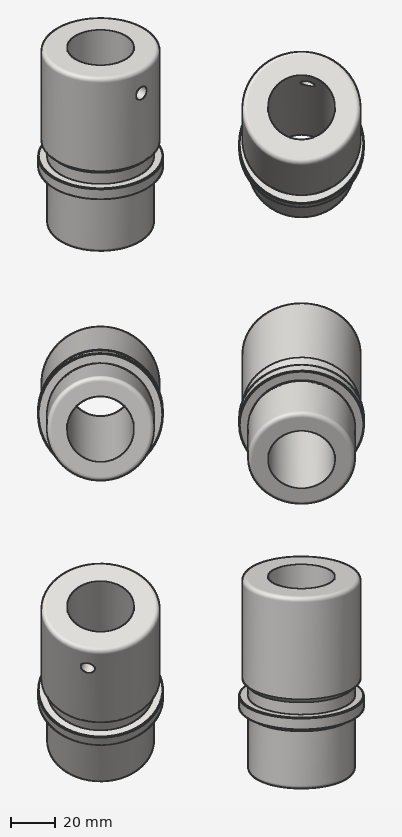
import cadquery as cq

total_height = 93.0
bore_diameter = 29.9
end_round = 2.0

body_radius = 53.0 / 2
body_bottom_z = 44.5

spigot_radius = 48.0 / 2
taper_bottom_z = body_bottom_z - (body_radius - spigot_radius)

flange_radius = 56.0 / 2
flange_bottom_z = 30.2
flange_thickness = 5.95
flange_top_z = flange_bottom_z + flange_thickness
flange_chamfer = 0.5

groove_radius = 46.5 / 2
groove_bottom_z = 28.6
groove_taper_height = 0.6

side_hole_diameter = 6.5
side_hole_depth_from_top = 12.1


def make_sleeve():
    """Revolve the stepped outside and bore it through."""
    profile = [
        (0, 0),
        (spigot_radius, 0),
        (spigot_radius, groove_bottom_z - groove_taper_height),
        (groove_radius, groove_bottom_z),
        (groove_radius, flange_bottom_z),
        (flange_radius - flange_chamfer, flange_bottom_z),
        (flange_radius, flange_bottom_z + flange_chamfer),
        (flange_radius, flange_top_z - flange_chamfer),
        (flange_radius - flange_chamfer, flange_top_z),
        (spigot_radius, flange_top_z),
        (spigot_radius, taper_bottom_z),
        (body_radius, body_bottom_z),
        (body_radius, total_height),
        (0, total_height),
    ]
    outside = cq.Workplane("XZ").polyline(profile).close().revolve(360, (0, 0), (0, 1))
    rounded = outside.faces("<Z or >Z").edges().fillet(end_round)
    return rounded.faces(">Z").workplane().hole(bore_diameter)


def make_side_hole():
    """Cylinder running from the axis out past the +X wall."""
    hole_z = total_height - side_hole_depth_from_top
    return (
        cq.Workplane("YZ")
        .center(0, hole_z)
        .circle(side_hole_diameter / 2)
        .extrude(flange_radius)
    )


result = make_sleeve().cut(make_side_hole())